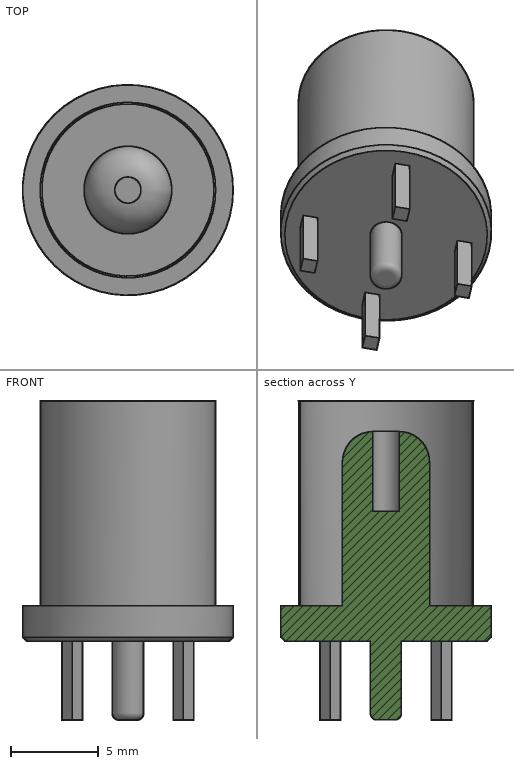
import cadquery as cq

total_height = 18.19
pin_length = 4.5
flange_thickness = 2.04
flange_top = pin_length + flange_thickness

flange_diameter = 12.0
flange_chamfer = 0.24
shell_outer_diameter = 10.0
shell_inner_diameter = 9.8

post_radius = 5.0 / 2
post_top = 16.46
socket_diameter = 1.5
socket_depth = 4.55
post_rounding = post_radius - socket_diameter / 2

centre_pin_diameter = 1.8
centre_pin_tip_radius = 0.4
corner_pin_side = 0.84
corner_pin_spacing = 6.33


def make_flange():
    disc = (
        cq.Workplane("XY")
        .workplane(offset=pin_length)
        .circle(flange_diameter / 2)
        .extrude(flange_thickness)
    )
    return disc.faces("<Z").edges().chamfer(flange_chamfer)


def make_shell():
    return (
        cq.Workplane("XY")
        .workplane(offset=flange_top)
        .circle(shell_outer_diameter / 2)
        .circle(shell_inner_diameter / 2)
        .extrude(total_height - flange_top)
    )


def make_post():
    """Post whose rounded top runs level into the mouth of its socket."""
    profile = (
        cq.Workplane("XZ")
        .moveTo(0, flange_top)
        .lineTo(post_radius, flange_top)
        .lineTo(post_radius, post_top - post_rounding)
        .radiusArc((socket_diameter / 2, post_top), -post_rounding)
        .lineTo(socket_diameter / 2, post_top - socket_depth)
        .lineTo(0, post_top - socket_depth)
        .close()
    )
    return profile.revolve(360, (0, 0, 0), (0, 1, 0))


def make_centre_pin():
    pin = cq.Workplane("XY").circle(centre_pin_diameter / 2).extrude(pin_length)
    return pin.faces("<Z").edges().fillet(centre_pin_tip_radius)


def make_corner_pins():
    """Four square pins, each turned so a flat faces the part axis."""
    return (
        cq.Workplane("XY")
        .rect(corner_pin_spacing, corner_pin_spacing, forConstruction=True)
        .vertices()
        .eachpoint(
            cq.Workplane("XY")
            .rect(corner_pin_side, corner_pin_side)
            .extrude(pin_length)
            .rotate((0, 0, 0), (0, 0, 1), 45)
            .val(),
            useLocalCoordinates=True,
        )
    )


result = (
    make_flange()
    .union(make_shell())
    .union(make_post())
    .union(make_centre_pin())
    .union(make_corner_pins())
)